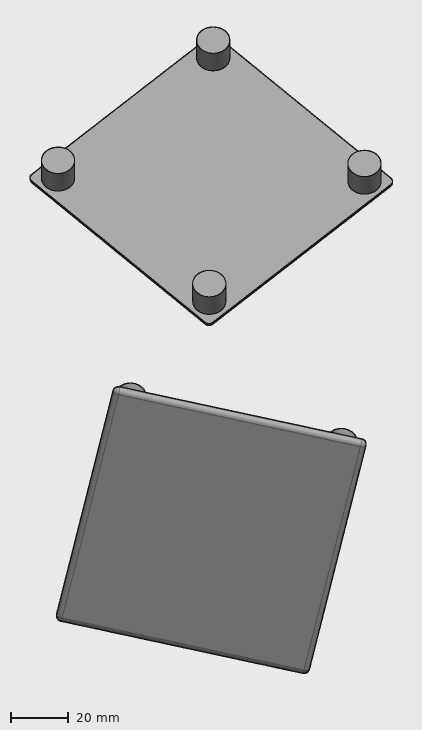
import cadquery as cq

plate_side = 90.0
plate_thickness = 2.5
edge_radius = 2.0

overall_height = 12.5
peg_diameter = 11.5
peg_height = overall_height - plate_thickness
peg_spacing = 75.1


def make_plate():
    """Plate with its underside at Z = 0; the corners and lower rim share one radius."""
    plate = cq.Workplane("XY").box(plate_side, plate_side, plate_thickness, centered=(True, True, False))
    return plate.edges("|Z or <Z").fillet(edge_radius)


def make_pegs():
    """Four pegs on a square pattern, rising from the top of the plate."""
    return (
        cq.Workplane("XY", origin=(0, 0, plate_thickness))
        .rect(peg_spacing, peg_spacing, forConstruction=True)
        .vertices()
        .circle(peg_diameter / 2)
        .extrude(peg_height)
    )


result = make_plate().union(make_pegs())